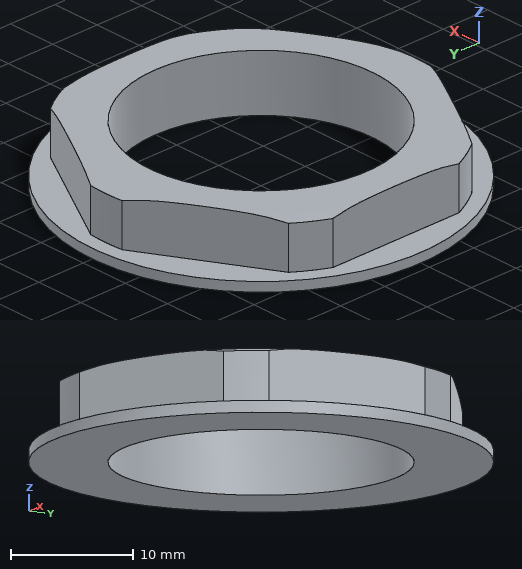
import cadquery as cq
import math

flange_diameter = 38.0
flange_thickness = 1.0
total_height = 6.0
bore_diameter = 25.0
across_flats = 32.0
corner_diameter = 35.0
crown_arc_radius = 4.0
crown_drop = 0.5

hex_height = total_height - flange_thickness
hex_circumscribed_diameter = across_flats / math.cos(math.pi / 6)
top_face_radius = across_flats / 2
corner_radius = corner_diameter / 2


def make_flange():
    """Thin round washer face at the bottom of the nut."""
    return cq.Workplane("XY").circle(flange_diameter / 2).extrude(flange_thickness)


def make_corner_envelope():
    """Turned blank with a crowned top edge that bounds the hexagon corners."""
    arc_end = (corner_radius, total_height - crown_drop)
    return (
        cq.Workplane("XZ")
        .moveTo(0, flange_thickness)
        .lineTo(0, total_height)
        .lineTo(top_face_radius, total_height)
        .radiusArc(arc_end, crown_arc_radius)
        .lineTo(corner_radius, flange_thickness)
        .close()
        .revolve(360, (0, 0, 0), (0, 1, 0))
    )


def make_hex_body():
    """Hexagon with flats facing +X and -X, its corners turned down and crowned."""
    hexagon = (
        cq.Workplane("XY")
        .workplane(offset=flange_thickness)
        .transformed(rotate=(0, 0, 90))
        .polygon(6, hex_circumscribed_diameter)
        .extrude(hex_height)
    )
    return hexagon.intersect(make_corner_envelope())


def make_bore():
    """Through hole along the nut axis."""
    return cq.Workplane("XY").circle(bore_diameter / 2).extrude(total_height)


result = make_flange().union(make_hex_body()).cut(make_bore())